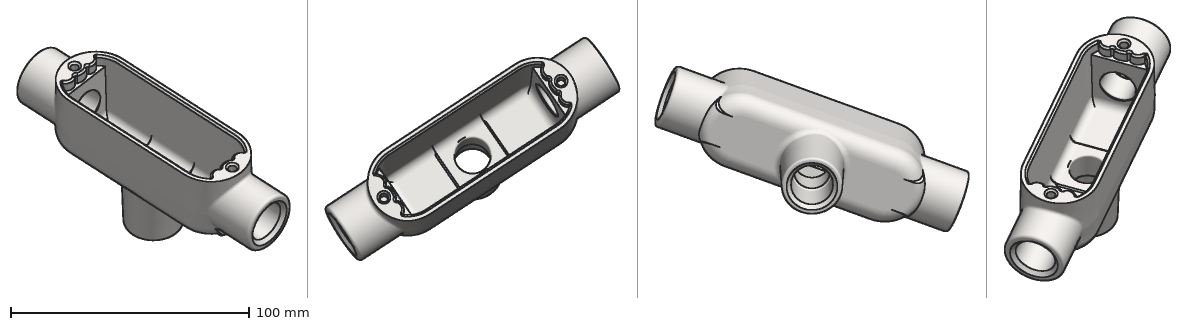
import cadquery as cq
import math


OVERALL_LENGTH = 131.8
OVERALL_HEIGHT = 61.1

BODY_RADIUS = 17.1
END_CENTER_X = 32.8
BODY_END_X = END_CENTER_X + BODY_RADIUS
TOP_Z = 19.1
BODY_BOTTOM_Z = -16.0
OUTER_DRAFT = 1.0
BODY_BOTTOM_FILLET = 7.5

GUSSET_FILLET = 4.6
GUSSET_TOP_Z = -8.4
GUSSET_TOP_HALF_WIDTH = 11.5
GUSSET_BOTTOM_HALF_WIDTH = 7.4

HUB_RADIUS = 13.5
END_HUB_ROUNDING = 1.3
END_HUB_BLEND = 1.3
TEE_DRAFT = 1.7
TEE_END_Z = TOP_Z - OVERALL_HEIGHT
TEE_ROUNDING = 1.0
TEE_BLEND = 2.8

PASSAGE_RADIUS = 15.2 / 2
SOCKET_MOUTH_RADIUS = 8.8
SOCKET_STOP_RADIUS = 8.4
SOCKET_DEPTH = 15.8
MOUTH_CHAMFER = 1.8
PASSAGE_ROUNDING = 0.8

RIM_CHAMFER = 0.9
RIM_INNER_RADIUS = 14.1
CAVITY_DRAFT = 4.2
FLOOR_Z = -13.2
FLOOR_FILLET = 4.0
LEDGE_Z = 13.8
END_WALL_X = 38.7

PAD_HEIGHT = 0.5
PAD_HALF_LENGTH = 12.1
PAD_SLOPE_RUN = 0.8

BOSS_CREST_X = 39.9
BOSS_CORNER_X = 42.0
BOSS_CORNER_Y = 10.3
SIDE_CREST_Y = 6.5
NOTCH_MOUTH_X = 40.6
NOTCH_BOTTOM_X = 41.2
NOTCH_Y = 3.7
NOTCH_HALF_WIDTH = 0.7

SCREW_X = 44.8
SCREW_RADIUS = 1.8
SCREW_MOUTH_RADIUS = 2.8
SCREW_DEPTH = 6.6

PICK_MARGIN = 0.4


def inset(height, draft):
    """Inward shift of a drafted wall over a height."""
    return height * math.tan(math.radians(draft))


def slot(radius, z):
    """Slot outline of the given end radius at height z."""
    return cq.Workplane("XY", origin=(0, 0, z)).slot2D(2 * (END_CENTER_X + radius), 2 * radius)


def edges_in_box(x_range, half_width, z_range):
    """Selector for the edges that lie wholly inside a box centred on y = 0."""
    low = (min(x_range), -half_width, min(z_range))
    high = (max(x_range), half_width, max(z_range))
    return cq.selectors.BoxSelector(low, high, boundingbox=True)


def lower_body(bottom_fillet):
    block = slot(BODY_RADIUS, 0).extrude(BODY_BOTTOM_Z, taper=OUTER_DRAFT)
    return block.faces("<Z").edges().fillet(bottom_fillet)


def gussets():
    """Wedges of a fuller bottom rounding, kept only beneath the end hubs."""
    wedge = (
        cq.Workplane("YZ")
        .moveTo(-GUSSET_TOP_HALF_WIDTH, GUSSET_TOP_Z)
        .lineTo(-GUSSET_BOTTOM_HALF_WIDTH, BODY_BOTTOM_Z)
        .lineTo(GUSSET_BOTTOM_HALF_WIDTH, BODY_BOTTOM_Z)
        .lineTo(GUSSET_TOP_HALF_WIDTH, GUSSET_TOP_Z)
        .close()
        .extrude(BODY_END_X, both=True)
    )
    return lower_body(GUSSET_FILLET).intersect(wedge)


def body_shell():
    upper = slot(BODY_RADIUS, 0).extrude(TOP_Z, taper=OUTER_DRAFT)
    return upper.union(lower_body(BODY_BOTTOM_FILLET))


def with_tee_hub(body):
    hub = cq.Workplane("XY").circle(HUB_RADIUS + inset(-BODY_BOTTOM_Z, TEE_DRAFT))
    hub = hub.extrude(TEE_END_Z, taper=TEE_DRAFT)
    hub = hub.faces("<Z").edges().fillet(TEE_ROUNDING)
    reach = HUB_RADIUS + TEE_BLEND
    joint = edges_in_box((-reach, reach), reach, (BODY_BOTTOM_Z - PICK_MARGIN, GUSSET_TOP_Z))
    return body.union(hub).edges(joint).fillet(TEE_BLEND)


def with_end_hubs(body):
    reach = HUB_RADIUS + PICK_MARGIN
    for side in (1, -1):
        hub = cq.Workplane("YZ", origin=(side * END_CENTER_X, 0, 0)).circle(HUB_RADIUS)
        hub = hub.extrude(side * (OVERALL_LENGTH / 2 - END_CENTER_X))
        hub = hub.faces(">X" if side > 0 else "<X").edges().fillet(END_HUB_ROUNDING)
        body = body.union(hub)
        joint = edges_in_box((side * END_WALL_X, side * BODY_END_X), reach, (-reach, reach))
        body = body.edges(joint).fillet(END_HUB_BLEND)
    return body


def cavity_slot(bottom_z):
    """Drafted slot that reaches the rim radius at the foot of the rim chamfer."""
    height = TOP_Z - RIM_CHAMFER - bottom_z
    radius = RIM_INNER_RADIUS - inset(height, CAVITY_DRAFT)
    return slot(radius, bottom_z).extrude(height, taper=-CAVITY_DRAFT)


def lower_cavity(floor_z):
    """Cavity from the floor to the ledge, with flat drafted end walls and a filleted floor."""
    height = LEDGE_Z - floor_z
    floor_length = 2 * (END_WALL_X - inset(height, CAVITY_DRAFT))
    block = cq.Workplane("XY", origin=(0, 0, floor_z)).rect(floor_length, 2 * BODY_RADIUS)
    block = block.extrude(height, taper=-CAVITY_DRAFT)
    return cavity_slot(floor_z).intersect(block).faces("<Z").edges().fillet(FLOOR_FILLET)


def pad_zone():
    """Zone in which the floor and its fillets are raised, with sloped steps at both ends."""
    foot = PAD_HALF_LENGTH + PAD_SLOPE_RUN
    pad_top_z = FLOOR_Z + PAD_HEIGHT
    return (
        cq.Workplane("XZ")
        .moveTo(-foot, FLOOR_Z)
        .lineTo(-PAD_HALF_LENGTH, pad_top_z)
        .lineTo(-PAD_HALF_LENGTH, pad_top_z + FLOOR_FILLET)
        .lineTo(PAD_HALF_LENGTH, pad_top_z + FLOOR_FILLET)
        .lineTo(PAD_HALF_LENGTH, pad_top_z)
        .lineTo(foot, FLOOR_Z)
        .close()
        .extrude(BODY_RADIUS, both=True)
    )


def boss_outline(side):
    """Opening outline past the ledge at one end, closed along x = 0; side is +1 or -1."""
    near_notch = NOTCH_Y - NOTCH_HALF_WIDTH
    far_notch = NOTCH_Y + NOTCH_HALF_WIDTH
    crest, corner = side * BOSS_CREST_X, side * BOSS_CORNER_X
    mouth, bottom = side * NOTCH_MOUTH_X, side * NOTCH_BOTTOM_X
    return (
        cq.Workplane("XY", origin=(0, 0, LEDGE_Z))
        .moveTo(0, BODY_RADIUS)
        .lineTo(corner, BODY_RADIUS)
        .lineTo(corner, BOSS_CORNER_Y)
        .threePointArc((crest, SIDE_CREST_Y), (mouth, far_notch))
        .threePointArc((bottom, NOTCH_Y), (mouth, near_notch))
        .threePointArc((crest, 0), (mouth, -near_notch))
        .threePointArc((bottom, -NOTCH_Y), (mouth, -far_notch))
        .threePointArc((crest, -SIDE_CREST_Y), (corner, -BOSS_CORNER_Y))
        .lineTo(corner, -BODY_RADIUS)
        .lineTo(0, -BODY_RADIUS)
        .close()
    )


def scalloped_opening():
    """Opening from the ledge to the foot of the rim chamfer."""
    depth = TOP_Z - RIM_CHAMFER - LEDGE_Z
    ends = boss_outline(1).extrude(depth).union(boss_outline(-1).extrude(depth))
    return cavity_slot(LEDGE_Z).intersect(ends).clean()


def rim_flare(opening):
    """45 degree flare that chamfers the mouth of the opening along its whole outline."""
    mouth = opening.faces(">Z").wires().toPending()
    return mouth.extrude(RIM_CHAMFER, taper=-45, combine=False)


def with_cavity(body):
    opening = scalloped_opening()
    body = body.cut(opening).cut(rim_flare(opening))
    body = body.cut(lower_cavity(FLOOR_Z).cut(pad_zone()))
    return body.cut(lower_cavity(FLOOR_Z + PAD_HEIGHT))


def bore(outer_end, inner_end):
    """Cutter along +X: chamfered tapered socket, rounded stop, passage and rounded cavity entry."""
    stop = outer_end - SOCKET_DEPTH
    stop_rounding = SOCKET_STOP_RADIUS - PASSAGE_RADIUS
    entry_radius = PASSAGE_RADIUS + PASSAGE_ROUNDING
    return (
        cq.Workplane("XY")
        .moveTo(outer_end, 0)
        .lineTo(outer_end, SOCKET_MOUTH_RADIUS + MOUTH_CHAMFER)
        .lineTo(outer_end - MOUTH_CHAMFER, SOCKET_MOUTH_RADIUS)
        .lineTo(stop, SOCKET_STOP_RADIUS)
        .radiusArc((stop - stop_rounding, PASSAGE_RADIUS), -stop_rounding)
        .lineTo(inner_end + PASSAGE_ROUNDING, PASSAGE_RADIUS)
        .radiusArc((inner_end, entry_radius), PASSAGE_ROUNDING)
        .lineTo(inner_end - PASSAGE_ROUNDING, entry_radius)
        .lineTo(inner_end - PASSAGE_ROUNDING, 0)
        .close()
        .revolve(360, (0, 0, 0), (1, 0, 0))
    )


def with_bores(body):
    end_wall_at_axis = END_WALL_X - inset(LEDGE_Z, CAVITY_DRAFT)
    end_bore = bore(OVERALL_LENGTH / 2, end_wall_at_axis)
    tee_bore = bore(-TEE_END_Z, -(FLOOR_Z + PAD_HEIGHT)).rotate((0, 0, 0), (0, 1, 0), 90)
    return body.cut(end_bore).cut(end_bore.mirror("YZ")).cut(tee_bore)


def with_screw_holes(body):
    holes = body.copyWorkplane(cq.Workplane("XY", origin=(0, 0, TOP_Z)))
    holes = holes.pushPoints([(-SCREW_X, 0), (SCREW_X, 0)])
    return holes.cskHole(2 * SCREW_RADIUS, 2 * SCREW_MOUTH_RADIUS, 90, SCREW_DEPTH)


shell = with_end_hubs(with_tee_hub(body_shell())).union(gussets())
result = with_screw_holes(with_bores(with_cavity(shell)))